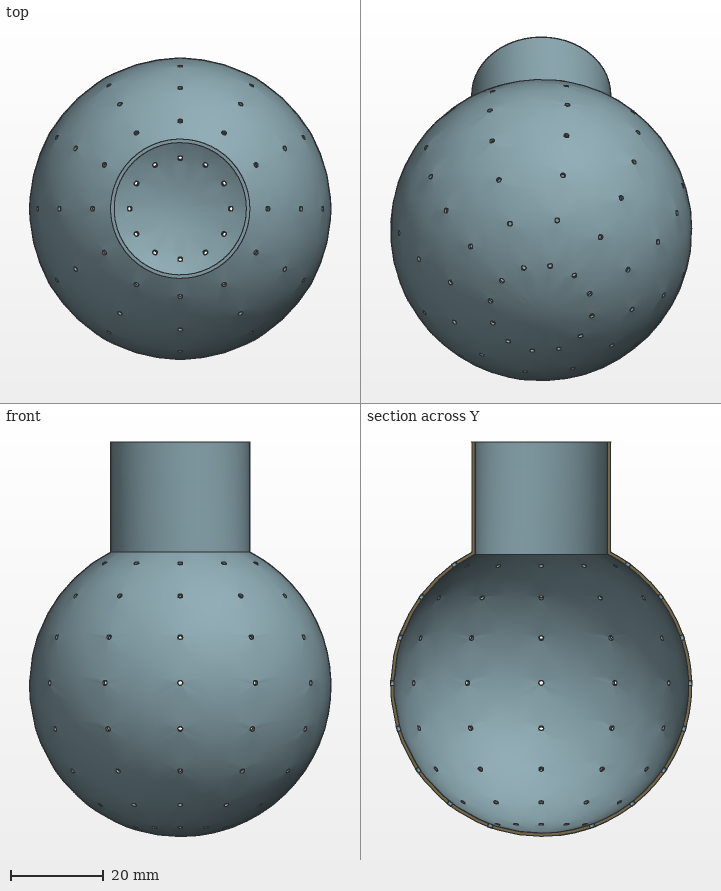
import cadquery as cq

total_height = 85.1
ball_diameter = 65.0
neck_outer_diameter = 30.0
neck_inner_diameter = 28.5

hole_diameter = 1.0
holes_per_ring = 12
last_ring_angle = 160.0
ring_steps = 9
first_ring_step = 2

ball_radius = ball_diameter / 2
wall = (neck_outer_diameter - neck_inner_diameter) / 2
inner_radius = ball_radius - wall
neck_top = total_height - ball_radius
ring_pitch = last_ring_angle / ring_steps
hole_spacing = 360.0 / holes_per_ring


def make_neck_cylinder(diameter):
    """Upright cylinder from the ball centre to the top of the neck."""
    return cq.Workplane("XY").circle(diameter / 2).extrude(neck_top)


def make_hollow_body():
    """Thin ball and neck sharing one open cavity."""
    outside = cq.Workplane("XY").sphere(ball_radius).union(make_neck_cylinder(neck_outer_diameter))
    cavity = cq.Workplane("XY").sphere(inner_radius).union(make_neck_cylinder(neck_inner_diameter))
    return outside.cut(cavity)


def make_hole_cutter(polar_angle, turn_angle):
    """Radial pin that crosses the ball wall, with one wall of clearance on each side."""
    pin = cq.Workplane("XY", origin=(0, 0, inner_radius - wall)).circle(hole_diameter / 2).extrude(3 * wall)
    tilted = pin.rotate((0, 0, 0), (0, 1, 0), polar_angle)
    return tilted.rotate((0, 0, 0), (0, 0, 1), turn_angle)


hole_cutters = [
    make_hole_cutter(step * ring_pitch, index * hole_spacing).val()
    for step in range(first_ring_step, ring_steps + 1)
    for index in range(holes_per_ring)
]

result = make_hollow_body().cut(cq.Workplane(cq.Compound.makeCompound(hole_cutters)))